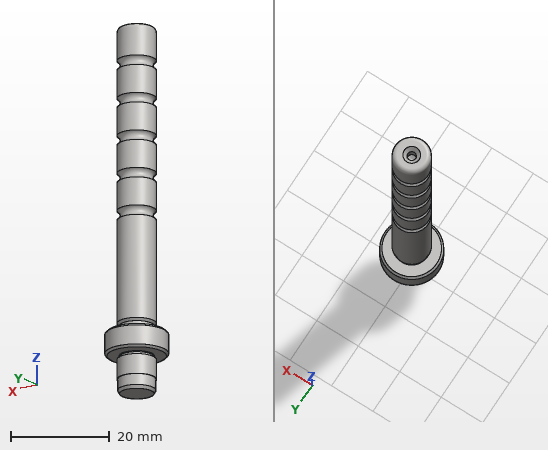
import cadquery as cq
import math

LENGTH = 78.0
SHAFT_RADIUS = 8.0 / 2
TOP_ROUND = 1.0

COLLAR_RADIUS = 13.0 / 2
COLLAR_BOTTOM = 8.0
COLLAR_TOP = 13.0
COLLAR_CHAMFER = 0.5

NECK_RADIUS = 3.6
NECK_TAPER = 0.55
LOWER_NECK_START = 7.25
UPPER_NECK_END = 15.0

TIP_RADIUS = 3.9
TIP_LENGTH = 3.05
TIP_CHAMFER_HEIGHT = 0.7
TIP_CHAMFER_WIDTH = 0.4

GROOVE_COUNT = 5
LOWEST_GROOVE_FROM_TOP = 40.0
GROOVE_PITCH = LOWEST_GROOVE_FROM_TOP / GROOVE_COUNT
GROOVE_WIDTH = 2.0
GROOVE_DEPTH = 0.6

HOLE_MOUTH_RADIUS = 1.8
HOLE_RADIUS = 0.9
COUNTERSINK_ANGLE = 90.0
BORE_LENGTH = 2.0
DRILL_POINT_ANGLE = 120.0


def cone_height(radius_change, full_angle):
    """Axial length of a cone with the given radius change and full angle."""
    return radius_change / math.tan(math.radians(full_angle / 2))


def make_body():
    """Revolve the half profile of the pin, from the bottom to the top."""
    profile = (
        cq.Workplane("XZ")
        .lineTo(TIP_RADIUS - TIP_CHAMFER_WIDTH, 0)
        .lineTo(TIP_RADIUS, TIP_CHAMFER_HEIGHT)
        .lineTo(TIP_RADIUS, TIP_LENGTH)
        .lineTo(SHAFT_RADIUS, TIP_LENGTH)
        .lineTo(SHAFT_RADIUS, LOWER_NECK_START)
        .lineTo(NECK_RADIUS, LOWER_NECK_START + NECK_TAPER)
        .lineTo(NECK_RADIUS, COLLAR_BOTTOM)
        .lineTo(COLLAR_RADIUS - COLLAR_CHAMFER, COLLAR_BOTTOM)
        .lineTo(COLLAR_RADIUS, COLLAR_BOTTOM + COLLAR_CHAMFER)
        .lineTo(COLLAR_RADIUS, COLLAR_TOP - COLLAR_CHAMFER)
        .lineTo(COLLAR_RADIUS - COLLAR_CHAMFER, COLLAR_TOP)
        .lineTo(NECK_RADIUS, COLLAR_TOP)
        .lineTo(NECK_RADIUS, UPPER_NECK_END - NECK_TAPER)
        .lineTo(SHAFT_RADIUS, UPPER_NECK_END)
    )
    for index in reversed(range(GROOVE_COUNT)):
        centre = LENGTH - (index + 1) * GROOVE_PITCH
        profile = profile.lineTo(SHAFT_RADIUS, centre - GROOVE_WIDTH / 2).threePointArc(
            (SHAFT_RADIUS - GROOVE_DEPTH, centre),
            (SHAFT_RADIUS, centre + GROOVE_WIDTH / 2),
        )
    profile = (
        profile.lineTo(SHAFT_RADIUS, LENGTH - TOP_ROUND)
        .radiusArc((SHAFT_RADIUS - TOP_ROUND, LENGTH), -TOP_ROUND)
        .lineTo(0, LENGTH)
        .close()
    )
    return profile.revolve(360, (0, 0), (0, 1))


def make_centre_hole():
    """Countersink, short bore and conical drill point, as a cutting solid."""
    bore_top = LENGTH - cone_height(HOLE_MOUTH_RADIUS - HOLE_RADIUS, COUNTERSINK_ANGLE)
    bore_bottom = bore_top - BORE_LENGTH
    point = bore_bottom - cone_height(HOLE_RADIUS, DRILL_POINT_ANGLE)
    return (
        cq.Workplane("XZ")
        .moveTo(0, LENGTH)
        .lineTo(HOLE_MOUTH_RADIUS, LENGTH)
        .lineTo(HOLE_RADIUS, bore_top)
        .lineTo(HOLE_RADIUS, bore_bottom)
        .lineTo(0, point)
        .close()
        .revolve(360, (0, 0), (0, 1))
    )


result = make_body().cut(make_centre_hole())